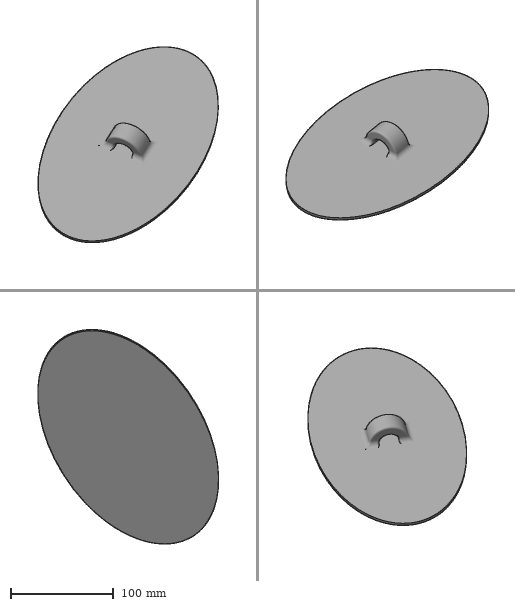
import cadquery as cq
import math

plate_length = 250.0
plate_width = 149.7
plate_thickness = 3.0

outer_radius = 20.0
inner_radius = 10.0
loop_width = 20.0
edge_round = 2.0

flare_radius = 5.0
flare_y = loop_width / 2 + flare_radius
flare_x = math.sqrt((outer_radius + flare_radius) ** 2 - flare_radius**2)


def make_plate():
    """Flat ellipse with its underside on Z = 0."""
    plate = cq.Workplane("XY").ellipse(plate_width / 2, plate_length / 2)
    return plate.extrude(plate_thickness)


def make_arch_profile():
    """Half disc whose ends flare tangentially onto the plate, extruded along Y."""
    tangent_scale = outer_radius / (outer_radius + flare_radius)
    tangent_x = flare_x * tangent_scale
    tangent_z = flare_radius * tangent_scale
    to_arch_angle = math.atan2(tangent_z - flare_radius, tangent_x - flare_x) % (2 * math.pi)
    middle_angle = (to_arch_angle + 1.5 * math.pi) / 2
    middle_x = flare_x + flare_radius * math.cos(middle_angle)
    middle_z = flare_radius + flare_radius * math.sin(middle_angle)
    return (
        cq.Workplane("XZ")
        .moveTo(-flare_x, 0)
        .threePointArc((-middle_x, middle_z), (-tangent_x, tangent_z))
        .threePointArc((0, outer_radius), (tangent_x, tangent_z))
        .threePointArc((middle_x, middle_z), (flare_x, 0))
        .close()
        .extrude(flare_y, both=True)
    )


def make_width_profile():
    """Straight loop sides that flare tangentially onto the plate, extruded along X."""
    half_width = loop_width / 2
    middle_offset = flare_radius * (1 - math.sqrt(0.5))
    return (
        cq.Workplane("YZ")
        .moveTo(-flare_y, 0)
        .threePointArc((-half_width - middle_offset, middle_offset), (-half_width, flare_radius))
        .lineTo(-half_width, outer_radius)
        .lineTo(half_width, outer_radius)
        .lineTo(half_width, flare_radius)
        .threePointArc((half_width + middle_offset, middle_offset), (flare_y, 0))
        .close()
        .extrude(flare_x, both=True)
    )


def is_rim_edge(edge):
    """True for rising edges that border the loop's sides, not the seam inside the opening."""
    box = edge.BoundingBox()
    rises = box.zlen > flare_radius / 2
    borders_side = abs(edge.Center().y) > loop_width / 4
    return rises and borders_side


def make_loop():
    """Flared arch with a round opening; its rims and mitred corners are rounded."""
    opening = cq.Workplane("XZ").circle(inner_radius).extrude(flare_y, both=True)
    loop = make_arch_profile().intersect(make_width_profile()).cut(opening)
    return loop.edges().filter(is_rim_edge).fillet(edge_round)


result = make_plate().union(make_loop().translate((0, 0, plate_thickness)))